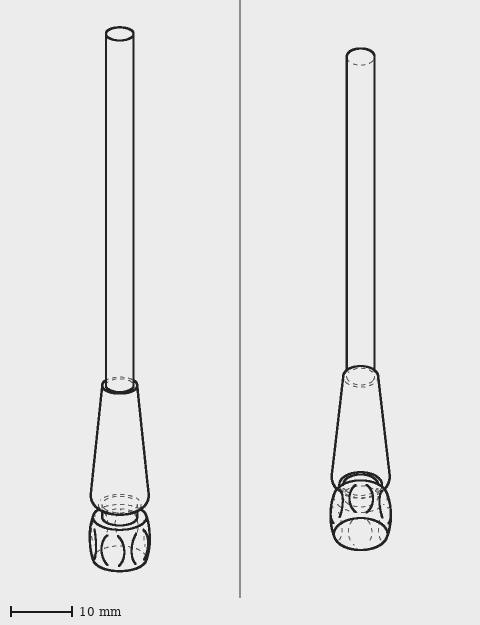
import cadquery as cq

total_length = 97.0
rod_diameter = 4.6
neck_diameter = 5.7
sleeve_top_diameter = 5.7
sleeve_base_diameter = 9.5
sleeve_underside_diameter = 7.0
nut_end_diameter = 8.7
nut_waist_diameter = 9.9
nut_across_flats = 9.1
nut_flat_count = 6

nut_height = 7.7
sleeve_bottom = 10.0
sleeve_widest = 11.7
sleeve_top = 32.0


def make_nut():
    """Barrel-shaped nut with hexagonal flats, two of them facing along X."""
    barrel = (
        cq.Workplane("XZ")
        .lineTo(nut_end_diameter / 2, 0)
        .threePointArc(
            (nut_waist_diameter / 2, nut_height / 2),
            (nut_end_diameter / 2, nut_height),
        )
        .lineTo(0, nut_height)
        .close()
        .revolve(360, (0, 0), (0, 1))
    )
    hexagon = (
        cq.Workplane("XY")
        .polygon(nut_flat_count, nut_across_flats, circumscribed=True)
        .extrude(nut_height)
    )
    return barrel.intersect(hexagon)


def make_stem():
    """Neck, tapered sleeve with a rounded lower edge, and rod."""
    edge_inset = (sleeve_base_diameter - sleeve_underside_diameter) / 2
    edge_rise = sleeve_widest - sleeve_bottom
    edge_radius = (edge_inset**2 + edge_rise**2) / (2 * edge_inset)
    return (
        cq.Workplane("XZ")
        .moveTo(0, nut_height)
        .lineTo(neck_diameter / 2, nut_height)
        .lineTo(neck_diameter / 2, sleeve_bottom)
        .lineTo(sleeve_underside_diameter / 2, sleeve_bottom)
        .radiusArc((sleeve_base_diameter / 2, sleeve_widest), -edge_radius)
        .lineTo(sleeve_top_diameter / 2, sleeve_top)
        .lineTo(rod_diameter / 2, sleeve_top)
        .lineTo(rod_diameter / 2, total_length)
        .lineTo(0, total_length)
        .close()
        .revolve(360, (0, 0), (0, 1))
    )


result = make_nut().union(make_stem())